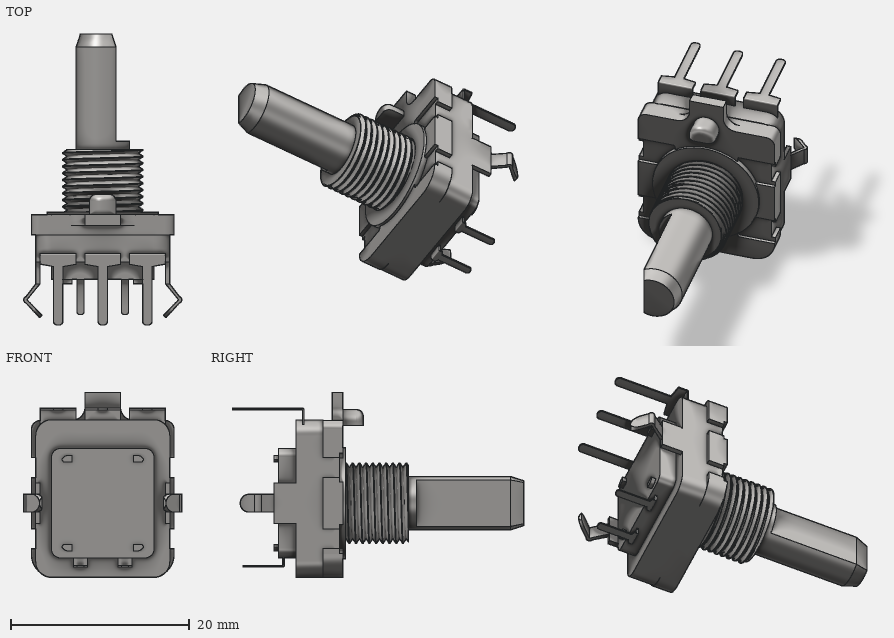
import cadquery as cq
import math


frame_half_width = 8.0
frame_top = 9.25
frame_bottom = -8.3
frame_depth = 2.25
frame_top_radius = 1.0
frame_bottom_radius = 2.58

front_lip = 0.4
notch_low = 2.38
notch_high = 5.65
notch_inner_x = 3.65
notch_corner_radius = 0.3
claw_gap_low = 2.87
claw_gap_high = 5.1

tab_half_width = 2.0
tab_top = 12.4
tab_thickness = 1.2
tab_root_radius = 1.5
pin_radius = 1.5
pin_center_z = 9.0
pin_bottom_z = 8.67
pin_length = 2.28
pin_tip_radius = 0.78

body_half_width = 7.5
body_top = 9.32
body_back = 5.28
body_radius = 1.75
block_half_width = 5.75
block_half_height = 6.13
block_back = 7.25
block_radius = 1.0

peg_height = 0.5
peg_inner_x = 3.42
peg_outer_x = 4.55
peg_inner_z = 4.63
peg_outer_z = 5.35

disc_radius = 6.23
disc_front = 0.3
bushing_front = 7.3
thread_radius = 4.5
thread_depth = 0.5
thread_pitch = 0.75
thread_crest = 0.1
thread_phase_y = 0.52
flank_steps = 16

shaft_radius = 3.0
shaft_front = 20.25
shaft_flat_x = 1.5
shaft_flat_start = 8.25
shaft_chamfer_length = 1.5
shaft_chamfer_width = 0.5

clip_thickness = 0.5
clip_half_height = 2.28
clip_back = 7.73
leaf_half_width = 1.0

terminal_thickness = 0.2
front_terminal_pitch = 5.0
rear_terminal_x = 2.495

back_overlap = 0.33


def slab(half_width, z_low, z_high, y_front, y_back):
    """Box centred on X, given by its Z and Y limits."""
    return (
        cq.Workplane("XZ", origin=(0, y_front, 0))
        .center(0, (z_low + z_high) / 2)
        .rect(2 * half_width, z_high - z_low)
        .extrude(y_front - y_back)
    )


def make_frame():
    frame = slab(frame_half_width, frame_bottom, frame_top, 0, -frame_depth)
    frame = frame.edges("|Y and >Z").fillet(frame_top_radius)
    frame = frame.edges("|Y and <Z").fillet(frame_bottom_radius)
    gap_depth = frame_half_width - body_half_width
    gap_height = claw_gap_high - claw_gap_low
    notch_depth = frame_half_width - notch_inner_x
    for side in (-1, 1):
        for level in (-1, 1):
            gap = cq.Workplane().box(gap_depth, frame_depth, gap_height).translate((
                side * (body_half_width + gap_depth / 2),
                -frame_depth / 2,
                level * (claw_gap_low + claw_gap_high) / 2,
            ))
            notch = cq.Workplane().box(notch_depth, front_lip, notch_high - notch_low)
            notch = notch.edges("|Y and <X" if side > 0 else "|Y and >X").fillet(notch_corner_radius)
            notch = notch.translate((
                side * (notch_inner_x + notch_depth / 2),
                -front_lip / 2,
                level * (notch_low + notch_high) / 2,
            ))
            frame = frame.cut(gap).cut(notch)
    return frame


def make_tab():
    root_half_width = tab_half_width + tab_root_radius
    root_top = frame_top + tab_root_radius
    arc_inset = tab_root_radius * (1 - math.sqrt(0.5))
    return (
        cq.Workplane("XZ")
        .moveTo(-root_half_width, frame_top - back_overlap)
        .lineTo(-root_half_width, frame_top)
        .threePointArc((-tab_half_width - arc_inset, frame_top + arc_inset), (-tab_half_width, root_top))
        .lineTo(-tab_half_width, tab_top)
        .lineTo(tab_half_width, tab_top)
        .lineTo(tab_half_width, root_top)
        .threePointArc((tab_half_width + arc_inset, frame_top + arc_inset), (root_half_width, frame_top))
        .lineTo(root_half_width, frame_top - back_overlap)
        .close()
        .extrude(tab_thickness)
    )


def make_locating_pin():
    return (
        cq.Workplane("XZ", origin=(0, -back_overlap, 0))
        .moveTo(-pin_radius, pin_bottom_z)
        .lineTo(-pin_radius, pin_center_z)
        .threePointArc((0, pin_center_z + pin_radius), (pin_radius, pin_center_z))
        .lineTo(pin_radius, pin_bottom_z)
        .close()
        .extrude(-(pin_length + back_overlap))
        .faces(">Y")
        .edges("not <Z")
        .fillet(pin_tip_radius)
    )


def make_body():
    body = slab(body_half_width, frame_bottom, body_top, -frame_depth, -body_back)
    body = body.edges("|Y").fillet(body_radius)
    block = slab(block_half_width, -block_half_height, block_half_height, -body_back, -block_back)
    return body.union(block.edges("|Y").fillet(block_radius))


def make_pegs():
    peg = (
        cq.Workplane("XZ", origin=(0, -block_back, 0))
        .moveTo(peg_inner_x, peg_inner_z)
        .lineTo(peg_outer_x - 0.15, peg_inner_z)
        .lineTo(peg_outer_x, peg_inner_z + 0.25)
        .threePointArc((peg_outer_x - 0.3, peg_outer_z - 0.13), (peg_inner_x + 0.3, peg_outer_z))
        .lineTo(peg_inner_x, peg_outer_z)
        .close()
        .extrude(peg_height)
    )
    upper = peg.union(peg.mirror("YZ"))
    return upper.union(upper.mirror("XY"))


def polar_point(radius, angle):
    return radius * math.cos(math.radians(angle)), radius * math.sin(math.radians(angle))


def make_bushing():
    """Right-handed V thread: its cross-section, one spiral flank each way, twisted along the shaft axis."""
    root_radius = thread_radius - thread_depth
    crest_angle = -360 * (thread_phase_y - disc_front) / thread_pitch
    flank_angle = 180 * (1 - thread_crest / thread_pitch)
    rising_flank = []
    falling_flank = []
    for step in range(flank_steps + 1):
        fraction = step / flank_steps
        rising_flank.append(
            polar_point(root_radius + fraction * thread_depth, crest_angle - 180 + fraction * flank_angle)
        )
        falling_flank.append(
            polar_point(thread_radius - fraction * thread_depth, crest_angle + 180 - (1 - fraction) * flank_angle)
        )
    bushing_length = bushing_front - disc_front
    thread = (
        cq.Workplane("XY")
        .spline(rising_flank)
        .threePointArc(polar_point(thread_radius, crest_angle), falling_flank[0])
        .spline(falling_flank[1:], includeCurrent=True)
        .close()
        .twistExtrude(bushing_length, 360 * bushing_length / thread_pitch)
        .rotate((0, 0, 0), (1, 0, 0), -90)
        .translate((0, disc_front, 0))
    )
    disc = cq.Workplane("XZ", origin=(0, disc_front, 0)).circle(disc_radius).extrude(disc_front + front_lip)
    return disc.union(thread)


def make_clip(side):
    """Side plate carrying a spring leaf bent outward; side is -1 or 1 along X."""
    outer_x = body_half_width
    inner_x = body_half_width - clip_thickness
    plate = (
        cq.Workplane("XY", origin=(0, 0, -clip_half_height))
        .moveTo(inner_x, -body_back + back_overlap)
        .lineTo(outer_x, -body_back + back_overlap)
        .lineTo(outer_x, -clip_back)
        .lineTo(inner_x, -clip_back)
        .close()
        .extrude(2 * clip_half_height)
    )
    elbow_y = -9.52
    elbow_half_length = 0.375
    leaf_tip_y = -11.5
    leaf = (
        cq.Workplane("XY", origin=(0, 0, -leaf_half_width))
        .moveTo(inner_x, -clip_back + back_overlap)
        .lineTo(inner_x, -clip_back)
        .lineTo(8.48, elbow_y)
        .lineTo(6.78, -11.25)
        .lineTo(7.07, leaf_tip_y)
        .lineTo(8.57, elbow_y - elbow_half_length)
        .threePointArc((8.85, elbow_y), (8.57, elbow_y + elbow_half_length))
        .lineTo(outer_x, -clip_back)
        .lineTo(outer_x, -clip_back + back_overlap)
        .close()
        .extrude(2 * leaf_half_width)
    )
    round_start = leaf_tip_y + leaf_half_width
    rounded_envelope = (
        cq.Workplane("YZ")
        .moveTo(0, leaf_half_width)
        .lineTo(round_start, leaf_half_width)
        .threePointArc((leaf_tip_y, 0), (round_start, -leaf_half_width))
        .lineTo(0, -leaf_half_width)
        .close()
        .extrude(2 * frame_half_width)
    )
    clip = plate.union(leaf.intersect(rounded_envelope))
    return clip if side > 0 else clip.mirror("YZ")


def make_terminal(head_width, stem_width, leg_y, shoulder_y, stem_y, tip_y, tip_radius, outer_z, root_z):
    """Bent sheet terminal pointing back from a leg that stands on the plane Z = root_z (all upward)."""
    head = head_width / 2
    stem = stem_width / 2
    sheet = (
        cq.Workplane("XY", origin=(0, 0, outer_z - terminal_thickness))
        .moveTo(-head, leg_y)
        .lineTo(-head, shoulder_y)
        .lineTo(-stem, stem_y)
        .lineTo(-stem, tip_y)
        .lineTo(stem, tip_y)
        .lineTo(stem, stem_y)
        .lineTo(head, shoulder_y)
        .lineTo(head, leg_y)
        .close()
        .extrude(terminal_thickness)
        .edges("|Z and <Y")
        .fillet(tip_radius)
    )
    leg = slab(head, root_z, outer_z, leg_y, leg_y - terminal_thickness)
    return sheet.union(leg).edges("|X and >Z and >Y").fillet(terminal_thickness)


def make_front_terminal(x):
    terminal = make_terminal(
        head_width=4.0, stem_width=1.08, leg_y=-4.35, shoulder_y=-5.55, stem_y=-5.8,
        tip_y=-12.35, tip_radius=0.45, outer_z=10.63, root_z=body_top - body_radius,
    )
    return terminal.translate((x, 0, 0))


def make_rear_terminal(x):
    terminal = make_terminal(
        head_width=1.6, stem_width=0.8, leg_y=-6.55, shoulder_y=-7.05, stem_y=-7.25,
        tip_y=-11.18, tip_radius=0.33, outer_z=7.15, root_z=block_half_height - back_overlap,
    )
    return terminal.mirror("XY").translate((x, 0, 0))


def make_housing():
    housing = make_frame().union(make_body()).union(make_tab()).union(make_locating_pin())
    housing = housing.union(make_pegs()).union(make_bushing())
    for side in (-1, 1):
        housing = housing.union(make_clip(side)).union(make_rear_terminal(side * rear_terminal_x))
    for position in (-1, 0, 1):
        housing = housing.union(make_front_terminal(position * front_terminal_pitch))
    shaft_bore = cq.Workplane("XZ").circle(shaft_radius).extrude(-bushing_front)
    return housing.cut(shaft_bore)


def make_shaft():
    """D-shaped shaft, bearing in the bushing up to the front face of the frame."""
    flat_length = shaft_front - shaft_flat_start
    flat_depth = shaft_radius - shaft_flat_x
    flat = cq.Workplane().box(flat_depth, flat_length, 2 * shaft_radius).translate((
        shaft_flat_x + flat_depth / 2,
        shaft_flat_start + flat_length / 2,
        0,
    ))
    shaft = cq.Workplane("XZ").circle(shaft_radius).extrude(-shaft_front).cut(flat)
    return shaft.faces(">Y").chamfer(shaft_chamfer_length, shaft_chamfer_width)


housing = make_housing()
shaft = make_shaft()
result = cq.Compound.makeCompound([housing.val(), shaft.val()])